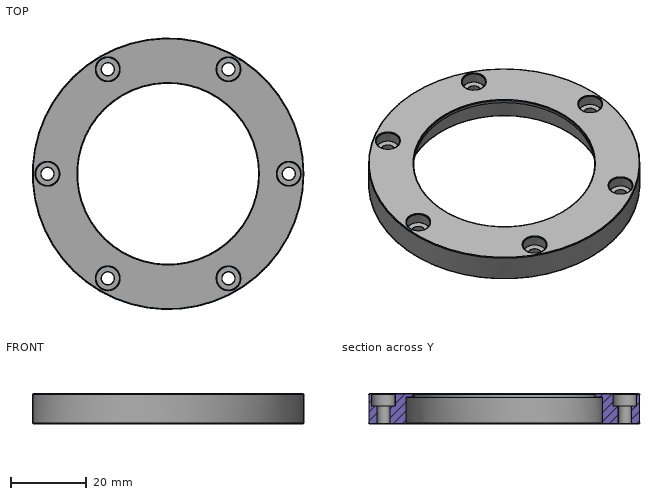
import cadquery as cq

outer_diameter = 72.0
bore_diameter = 48.0
thickness = 8.0
edge_chamfer = 0.2

lip_thickness = 1.0
recess_diameter = 52.0

screw_count = 6
bolt_circle_diameter = 64.0
screw_hole_diameter = 3.4
counterbore_diameter = 6.2
counterbore_depth = 3.2
counterbore_chamfer = 0.2


def make_ring():
    """Flat ring with its base on Z = 0, recessed from below, top and bottom edges chamfered."""
    ring = cq.Workplane("XY").circle(outer_diameter / 2).circle(bore_diameter / 2).extrude(thickness)
    recess = cq.Workplane("XY").circle(recess_diameter / 2).extrude(thickness - lip_thickness)
    ring = ring.cut(recess)
    return ring.faces("<Z or >Z").edges().chamfer(edge_chamfer)


def make_screw_cutter():
    """Solid of revolution about Z: through hole, counterbore and chamfered mouth."""
    hole_radius = screw_hole_diameter / 2
    counterbore_radius = counterbore_diameter / 2
    counterbore_floor = thickness - counterbore_depth
    profile = (
        cq.Workplane("XZ")
        .lineTo(hole_radius, 0)
        .lineTo(hole_radius, counterbore_floor)
        .lineTo(counterbore_radius, counterbore_floor)
        .lineTo(counterbore_radius, thickness - counterbore_chamfer)
        .lineTo(counterbore_radius + counterbore_chamfer, thickness)
        .lineTo(0, thickness)
        .close()
    )
    return profile.revolve(360, (0, 0, 0), (0, 1, 0))


def cut_screw_holes(ring):
    cutter = make_screw_cutter().translate((bolt_circle_diameter / 2, 0, 0))
    for index in range(screw_count):
        angle = index * 360 / screw_count
        ring = ring.cut(cutter.rotate((0, 0, 0), (0, 0, 1), angle))
    return ring


result = cut_screw_holes(make_ring())